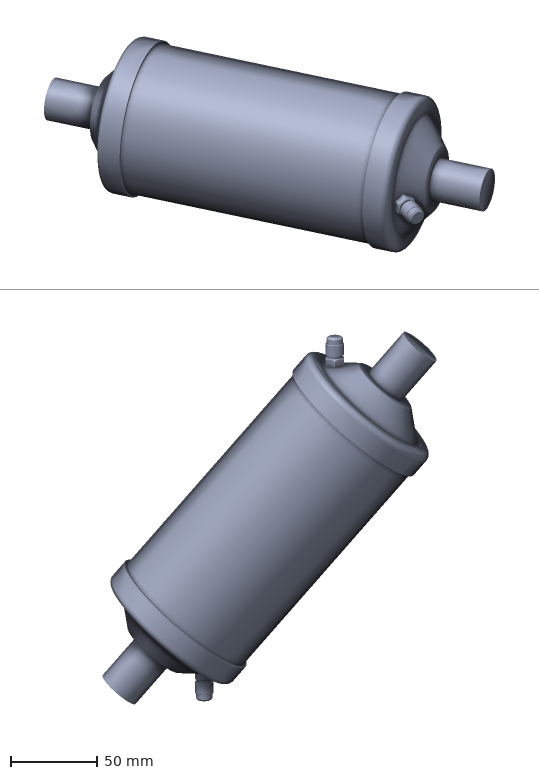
import cadquery as cq
import math

overall_length = 270.0
tube_radius = 12.7
shell_radius = 44.5
cap_radius = 46.5
cap_inner_x = 75.3
cap_face_x = 90.2
cap_fillet = 3.5
cone_end_x = 104.0
cone_base_radius = 36.0
cone_end_radius = 19.7
cone_end_fillet = 1.5
cone_base_fillet = 2.7
match_tolerance = 0.003

cone_length = cone_end_x - cap_face_x
cone_drop = cone_base_radius - cone_end_radius
fitting_angle = math.degrees(math.atan2(cone_length, cone_drop))
fitting_station = 0.33
hex_across_flats = 10.8
hex_height = 4.5
hex_chamfer = 1.0
root_depth = 2.2
neck_radius = 4.0
neck_length = 1.5
barrel_radius = 5.5
barrel_length = 6.8
barrel_chamfer = 0.3
tip_radius = 4.9
tip_length = 4.0
tip_chamfer = 1.0


def disc(radius, x_start, x_end):
    """Solid cylinder along X."""
    return cq.Workplane("YZ", origin=(x_start, 0, 0)).circle(radius).extrude(x_end - x_start)


def round_edge(body, x, radius, fillet):
    """Fillet the circular edge of the given radius at one X position."""
    edges = [
        edge
        for edge in body.edges("%CIRCLE").vals()
        if math.isclose(edge.Center().x, x, abs_tol=match_tolerance)
        and math.isclose(edge.radius(), radius, abs_tol=match_tolerance)
    ]
    return body.newObject(edges).fillet(fillet)


def make_end():
    """Revolved end of the housing on the +X side: cap and cone."""
    end = (
        cq.Workplane("XY")
        .moveTo(cap_inner_x, 0)
        .lineTo(cap_inner_x, cap_radius)
        .lineTo(cap_face_x, cap_radius)
        .lineTo(cap_face_x, cone_base_radius)
        .lineTo(cone_end_x, cone_end_radius)
        .lineTo(cone_end_x, 0)
        .close()
        .revolve(360, (0, 0, 0), (1, 0, 0))
    )

    end = round_edge(end, cap_face_x, cap_radius, cap_fillet)
    end = round_edge(end, cap_face_x, cone_base_radius, cone_base_fillet)
    return round_edge(end, cone_end_x, cone_end_radius, cone_end_fillet)


def make_housing():
    end = make_end()
    shell = disc(shell_radius, -cap_inner_x, cap_inner_x)
    tube = disc(tube_radius, -overall_length / 2, overall_length / 2)
    return shell.union(end).union(end.mirror("YZ")).union(tube)


def make_upright_fitting():
    """Fitting along +Z with the cone surface at Z = 0 and hexagon corners on +/-Y."""
    hexagon = (
        cq.Workplane("XY", origin=(0, 0, -root_depth))
        .polygon(6, hex_across_flats, circumscribed=True)
        .extrude(root_depth + hex_height)
        .rotate((0, 0, 0), (0, 0, 1), 30)
    )
    corner_radius = hex_across_flats / math.sqrt(3)
    bevel = (
        cq.Workplane("XY", origin=(0, 0, -root_depth))
        .circle(corner_radius)
        .extrude(root_depth + hex_height)
        .faces(">Z").chamfer(hex_chamfer)
    )
    neck = cq.Workplane("XY", origin=(0, 0, hex_height)).circle(neck_radius).extrude(neck_length)
    barrel_start = hex_height + neck_length
    barrel = (
        cq.Workplane("XY", origin=(0, 0, barrel_start))
        .circle(barrel_radius)
        .extrude(barrel_length)
        .edges(">Z").chamfer(barrel_chamfer)
    )
    tip = (
        cq.Workplane("XY", origin=(0, 0, barrel_start + barrel_length))
        .circle(tip_radius)
        .extrude(tip_length)
        .edges(">Z").chamfer(tip_chamfer)
    )
    return hexagon.intersect(bevel).union(neck).union(barrel).union(tip)


def make_fitting(turn, housing):
    """Fitting on the +X, -Y side, turned about Z and trimmed to the cone it stands on."""
    seat_x = cap_face_x + fitting_station * cone_length
    seat_radius = cone_base_radius - fitting_station * cone_drop
    return (
        make_upright_fitting()
        .rotate((0, 0, 0), (0, 1, 0), 90)
        .rotate((0, 0, 0), (0, 0, 1), -fitting_angle)
        .translate((seat_x, -seat_radius, 0))
        .rotate((0, 0, 0), (0, 0, 1), turn)
        .cut(housing)
    )


housing = make_housing()
fittings = [make_fitting(turn, housing) for turn in (0, 180)]
result = cq.Compound.makeCompound([housing.val(), *[fitting.val() for fitting in fittings]])